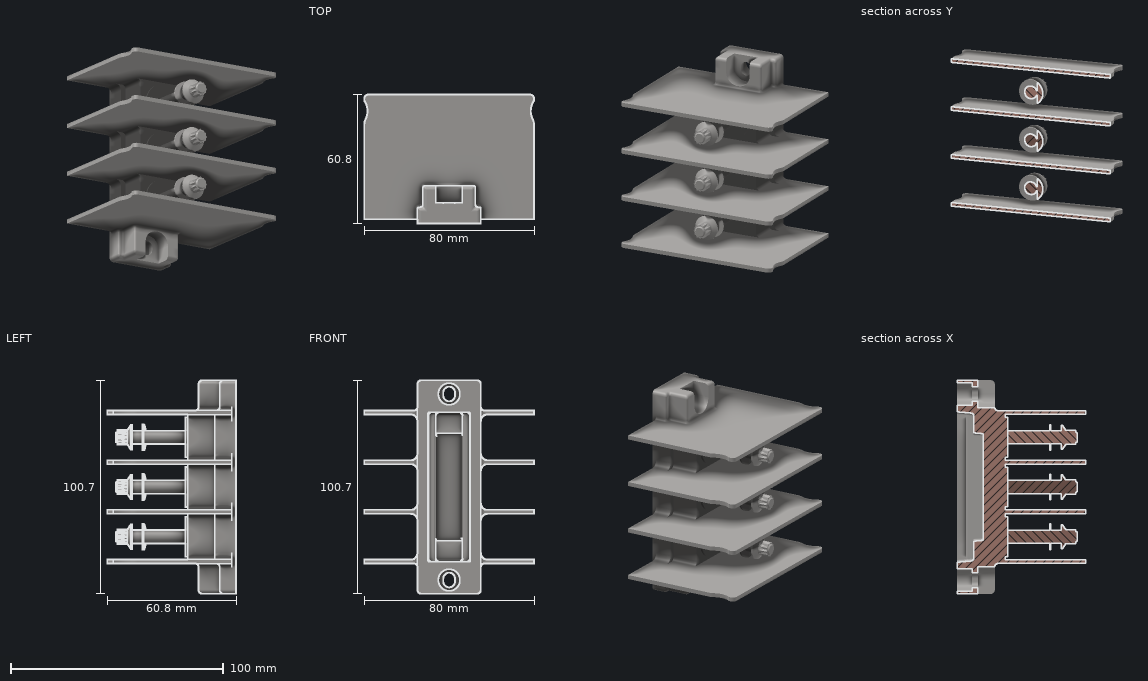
import cadquery as cq
import math


body_height = 100.7
body_half_width = 15.0
neck_half_width = 12.4
plate_depth = 10.0
neck_depth = 22.9

fin_count = 4
fin_pitch = 23.4
fin_thickness = 2.0
fin_width = 80.0
fin_front = 2.0
fin_rear = 60.8
fin_corner_radius = 2.0
notch_top = fin_rear - 2.9
notch_half_chord = 4.9
notch_depth = 1.5
notch_blend_radius = 5.0
plate_fin_fillet = 3.0
neck_fin_fillet = 2.0
fin_heights = [(i - (fin_count - 1) / 2) * fin_pitch for i in range(fin_count)]

lug_bottom = fin_heights[-1] + fin_thickness / 2
lug_top = body_height / 2
lug_shoulder = 7.8
lug_depth = 17.8
lug_corner_radius = 1.0
lug_top_fillet = 2.0
lug_foot_fillet = 1.5

hole_height = 43.8
slot_width = 5.4
slot_length = 6.8
front_bore_diameter = 10.2
front_bore_depth = 7.0
nut_pocket_width = 12.5
nut_pocket_front = 9.75
nut_pocket_radius = 6.0

wall_slope = math.tan(math.radians(5))
groove_side_slope = math.tan(math.radians(2))
cavity_half_width = 10.0
cavity_half_length = 35.3
cavity_depth = 4.2
groove_half_width = 6.4
groove_depth = 7.7
deep_groove_half_length = 25.4
deep_groove_depth = 12.2
ledge_fillet = 0.8
cavity_fillet = 1.0
floor_fillet = 0.4

boss_diameter = 19.0
boss_face = 23.9
stud_diameter = 6.4
flange_diameter = 11.7
flange_front = 48.9
flange_thickness = 0.7
flange_cone_end = 51.2
head_end = 55.9
head_tip = 56.6
head_points = 12
head_outer_radius = 3.5
head_inner_radius = 3.0
tip_base_radius = 2.7
tip_end_radius = 2.2
washer_diameter = 12.3
washer_front = 43.6
washer_thickness = 0.7
washer_bend_angle = 11.0
stud_heights = [(low + high) / 2 for low, high in zip(fin_heights, fin_heights[1:])]


def block(half_width, front, rear, bottom, top):
    """A box centred on X = 0."""
    return cq.Workplane("XY").box(
        2 * half_width, rear - front, top - bottom, centered=(True, False, False)
    ).translate((0, front, bottom))


def along_y(front, height=0.0):
    """A sketch plane facing +Y whose local axes are (-X, Z)."""
    return cq.Workplane(cq.Plane((0, front, height), xDir=(-1, 0, 0), normal=(0, 1, 0)))


def fin(height):
    """A flat fin with a shallow finger notch near each rear corner."""
    notch_radius = (notch_half_chord**2 + notch_depth**2) / (2 * notch_depth)
    notch_centre = notch_top - notch_half_chord
    plate = block(fin_width / 2, fin_front, fin_rear, 0, fin_thickness)
    plate = plate.edges("|Z and >Y").fillet(fin_corner_radius)
    for side in (-1, 1):
        cutter = (
            cq.Workplane("XY")
            .center(side * (fin_width / 2 - notch_depth + notch_radius), notch_centre)
            .circle(notch_radius)
            .extrude(fin_thickness)
        )
        plate = plate.cut(cutter)
    notch_end = notch_centre - notch_half_chord
    for side in (-1, 1):
        corner = cq.selectors.NearestToPointSelector((side * fin_width / 2, notch_end, fin_thickness / 2))
        plate = plate.edges("|Z").edges(corner).fillet(notch_blend_radius)
    return plate.translate((0, 0, height - fin_thickness / 2))


def fin_root(half_width, radius, front, rear, height, direction):
    """Concave fillets, on both sides, between a wall and one face of a fin."""
    face = height + direction * fin_thickness / 2
    bottom, top = sorted((face, face + direction * radius))
    root = block(half_width + radius, front, rear, bottom, top)
    for side in (-1, 1):
        rounding = (
            along_y(front, face + direction * radius)
            .center(side * (half_width + radius), 0)
            .circle(radius)
            .extrude(rear - front)
        )
        root = root.cut(rounding)
    return root


def finned_core():
    """The plate and the neck behind it, with the fins on their fillets."""
    bottom, top = fin_heights[0], fin_heights[-1]
    core = block(body_half_width, 0, plate_depth, -lug_bottom, lug_bottom)
    core = core.union(block(neck_half_width, 0, neck_depth, bottom, top))
    for height in fin_heights:
        core = core.union(fin(height))
    for low, high in zip(fin_heights, fin_heights[1:]):
        for height, direction in ((low, 1), (high, -1)):
            core = core.union(
                fin_root(body_half_width, plate_fin_fillet, fin_front, plate_depth, height, direction)
            )
            core = core.union(
                fin_root(neck_half_width, neck_fin_fillet, plate_depth, neck_depth, height, direction)
            )
    return core


def lug_wing(half_width, depth):
    """One step of the lug, rounded over its top and at its rear corners."""
    wing = block(half_width, 0, depth, lug_bottom, lug_top)
    wing = wing.faces(">Z").edges("not <Y").fillet(lug_top_fillet)
    return wing.edges("|Z and >Y").fillet(lug_corner_radius)


def lug():
    """The upper lug standing on its fin, with a stepped plan and a fillet around its foot."""
    solid = lug_wing(body_half_width, lug_shoulder).union(lug_wing(neck_half_width, lug_depth))
    inner_corners = cq.selectors.BoxSelector(
        (-neck_half_width - 0.1, lug_shoulder - 0.1, lug_bottom),
        (neck_half_width + 0.1, lug_shoulder + 0.1, lug_top),
    )
    solid = solid.edges("|Z").edges(inner_corners).fillet(lug_corner_radius)

    behind_fin_edge = block(fin_width, fin_front, fin_rear, lug_bottom, lug_top)
    foot = solid.intersect(behind_fin_edge).union(fin(fin_heights[-1]))
    outline = cq.selectors.BoxSelector(
        (-body_half_width - 1, fin_front + 0.1, lug_bottom - 0.1),
        (body_half_width + 1, lug_depth + 0.1, lug_bottom + 0.1),
    )
    foot = foot.edges(outline).fillet(lug_foot_fillet)
    return solid.union(foot).cut(mounting_hole())


def mounting_hole():
    """An upright slot with a round bore at the front and an open-topped nut pocket at the rear."""
    slot = along_y(0, hole_height).slot2D(slot_length, slot_width, 90).extrude(lug_depth)
    bore = along_y(0, hole_height).circle(front_bore_diameter / 2).extrude(front_bore_depth)
    pocket = block(
        nut_pocket_width / 2, nut_pocket_front, lug_depth, hole_height - nut_pocket_width / 2, lug_top
    )
    pocket = pocket.edges("|Y and <Z").fillet(nut_pocket_radius)
    return slot.union(bore).union(pocket)


def drafted_recess(half_width, half_length, start, depth, side_slope):
    """A rectangular recess whose walls lean inwards from its mouth at Y = start."""
    height = depth - start
    return (
        along_y(start)
        .rect(2 * half_width, 2 * half_length)
        .workplane(offset=height)
        .rect(2 * (half_width - side_slope * height), 2 * (half_length - wall_slope * height))
        .loft(ruled=True)
    )


def front_cavity():
    """The stepped recess, with its ledges, end walls and floor rounded."""
    groove_half_length = cavity_half_length - wall_slope * cavity_depth
    deep_half_width = groove_half_width - groove_side_slope * (groove_depth - cavity_depth)
    recess = drafted_recess(cavity_half_width, cavity_half_length, 0, cavity_depth, wall_slope)
    recess = recess.union(
        drafted_recess(groove_half_width, groove_half_length, cavity_depth, groove_depth, groove_side_slope)
    )
    for side in (-1, 1):
        ledge = cq.selectors.NearestToPointSelector((side * groove_half_width, cavity_depth, 0))
        recess = recess.edges(ledge).fillet(ledge_fillet)
    for end in (-1, 1):
        end_wall = cq.selectors.BoxSelector(
            (-cavity_half_width, 0.1, end * (cavity_half_length - 0.1)),
            (cavity_half_width, groove_depth + 0.1, end * (groove_half_length - 0.5)),
        )
        recess = recess.edges(end_wall).fillet(cavity_fillet)

    deep_groove = drafted_recess(
        deep_half_width, deep_groove_half_length, groove_depth, deep_groove_depth, groove_side_slope
    )
    deep_groove = deep_groove.edges("not(<Y or >Y)").fillet(cavity_fillet)
    deep_groove = deep_groove.faces(">Y").edges().fillet(floor_fillet)
    recess = recess.union(deep_groove)
    return recess


def housing_body():
    """The finned core with a lug at each end, a boss for each stud and the front cavity."""
    body = finned_core()
    upper_lug = lug()
    body = body.union(upper_lug).union(upper_lug.mirror("XY"))
    for height in stud_heights:
        boss = along_y(neck_depth, height).circle(boss_diameter / 2).extrude(boss_face - neck_depth)
        body = body.union(boss)
    return body.cut(front_cavity())


def washer():
    """A spring washer around the stud whose +X half is bent towards the front."""
    rear = washer_front + washer_thickness
    radius = washer_diameter / 2
    drop = radius * math.tan(math.radians(washer_bend_angle))
    strip = (
        cq.Workplane("XY")
        .polyline([
            (-radius, washer_front),
            (0, washer_front),
            (radius, washer_front - drop),
            (radius, rear - drop),
            (0, rear),
            (-radius, rear),
        ])
        .close()
        .extrude(radius, both=True)
    )
    return strip.intersect(along_y(boss_face).circle(radius).extrude(flange_front - boss_face))


def stud_head():
    """A twelve-point head on a conical flange, with a short tapered tip."""
    points = []
    for i in range(2 * head_points):
        radius = head_outer_radius if i % 2 == 0 else head_inner_radius
        angle = math.pi * i / head_points
        points.append((radius * math.cos(angle), radius * math.sin(angle)))
    head = along_y(flange_front).polyline(points).close().extrude(head_end - flange_front)
    rim = flange_front + flange_thickness
    turned = (
        cq.Workplane("XY")
        .polyline([
            (0, flange_front),
            (flange_diameter / 2, flange_front),
            (flange_diameter / 2, rim),
            (head_outer_radius, flange_cone_end),
            (tip_base_radius, head_end),
            (tip_end_radius, head_tip),
            (0, head_tip),
        ])
        .close()
        .revolve(360, (0, 0, 0), (0, 1, 0))
    )
    return head.union(turned)


def terminal_stud(height):
    """A stud standing on its boss, in one piece with its washer and head."""
    shank = along_y(boss_face).circle(stud_diameter / 2).extrude(flange_front - boss_face)
    return shank.union(washer()).union(stud_head()).translate((0, 0, height))


housing = housing_body()
terminal_studs = [terminal_stud(height) for height in stud_heights]
result = cq.Compound.makeCompound([housing.val(), *[stud.val() for stud in terminal_studs]])